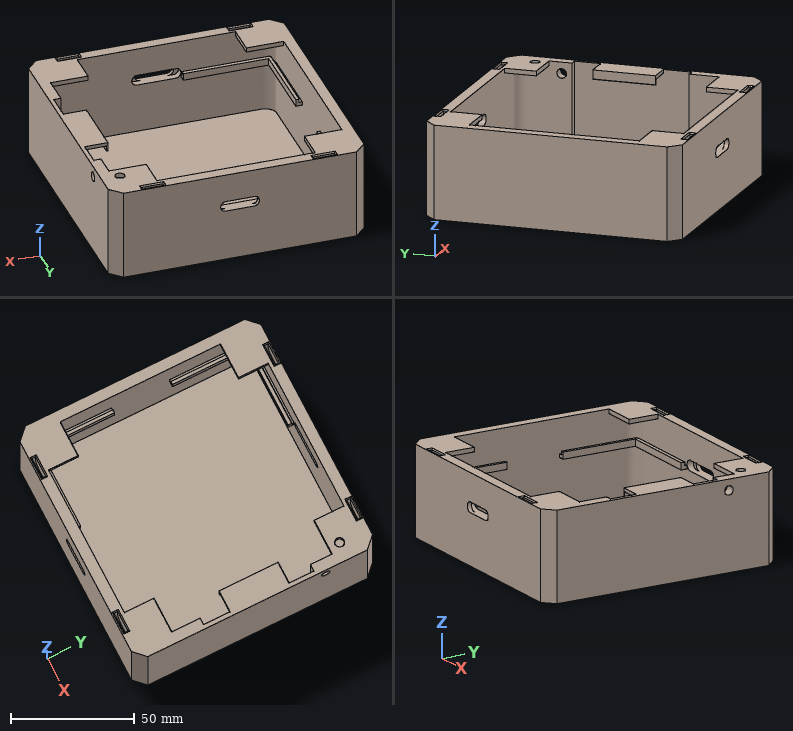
import cadquery as cq

side = 110.0
height = 40.0
wall = 5.0
floor = 1.0
outer_chamfer = 5.0
inner_fillet = 5.0
inner_side = side - 2 * wall
inner_face = inner_side / 2

tab_edge_x = 34.0
tab_edge_y = 36.5
tab_thickness = 2.0

recess_face_x = 53.1
recess_y = (-23.6, 26.6)
bridge_edge_x = 43.2
bridge_y = (-11.5, 15.4)
bridge_thickness = 1.5
lip_thickness = 0.5
lip_height = 4.0

rail_depth = 2.8
rail_top = 26.2
rail_height = 3.1
groove_depth = rail_height / 2
long_wall_groove = 1.0
end_wall_groove = 1.3
rail_end_x = -10.7
rail_end_y = 13.2

slot_z = 25.2
slot_height = 4.5
slot_outer_length = 16.6
slot_inner_length = 21.0
slot_skin = 2.0

magnet_x = 36.8
magnet_y = 53.0
magnet_diameter = 9.2
magnet_slot_width = 1.6
magnet_axis_depth = 5.0
magnet_chamfer = 0.5

hole_diameter = 4.0
tab_hole_x = 47.0
tab_hole_y = 41.5
wall_hole_y = 31.1
wall_hole_z = 35.2


def block(x_range, y_range, z_range):
    """Box spanning the given (low, high) ranges."""
    low, high = zip(x_range, y_range, z_range)
    size = [b - a for a, b in zip(low, high)]
    return cq.Workplane("XY").box(*size, centered=False).translate(low)


def signed_range(sign, low, high):
    """The range low..high, reflected about zero when sign is -1."""
    return tuple(sorted((sign * low, sign * high)))


def square_prism(width, base_z):
    """Square column centered on the box axis, from base_z up to the rim."""
    base = cq.Workplane("XY", origin=(0, 0, base_z))
    return base.rect(width, width).extrude(height - base_z)


def shell():
    """Box with chamfered outer corners, rounded inner corners and the +X recess."""
    outer = square_prism(side, 0).edges("|Z").chamfer(outer_chamfer)
    cavity = square_prism(inner_side, floor).edges("|Z").fillet(inner_fillet)
    recess = block((0, recess_face_x), recess_y, (floor, height))
    return outer.cut(cavity).cut(recess)


def corner_tab(sign_x, sign_y):
    """Plate covering one cavity corner at the rim."""
    return block(
        signed_range(sign_x, tab_edge_x, inner_face),
        signed_range(sign_y, tab_edge_y, inner_face),
        (height - tab_thickness, height),
    )


def bridge():
    """Plate across the +X recess with a lip along its free edge."""
    plate = block((bridge_edge_x, recess_face_x), bridge_y, (height - bridge_thickness, height))
    lip_x = (bridge_edge_x, bridge_edge_x + lip_thickness)
    return plate.union(block(lip_x, bridge_y, (height - lip_height, height)))


def corner_rails(sign_y):
    """Grooved rails on the two walls that meet in one -X corner."""
    rail_z = (rail_top - rail_height, rail_top)
    groove_z = (rail_top - groove_depth, rail_top)
    long_x = (-inner_face, rail_end_x)
    end_y = signed_range(sign_y, rail_end_y, inner_face)

    long_rail = block(long_x, signed_range(sign_y, inner_face - rail_depth, inner_face), rail_z)
    end_rail = block((-inner_face, -inner_face + rail_depth), end_y, rail_z)
    long_groove_y = signed_range(sign_y, inner_face - long_wall_groove, inner_face)
    long_groove = block(long_x, long_groove_y, groove_z)
    end_groove = block((-inner_face, -inner_face + end_wall_groove), end_y, groove_z)
    return long_rail.union(end_rail).cut(long_groove).cut(end_groove)


def slot_bar(length, reach_y):
    """Round-ended bar along Y between -reach_y and +reach_y."""
    start = cq.Workplane("XZ", origin=(0, reach_y, slot_z))
    return start.slot2D(length, slot_height).extrude(2 * reach_y)


def cable_slots():
    """Cutter for both cable slots, reaching across the open cavity."""
    outer_bar = slot_bar(slot_outer_length, side / 2)
    inner_bar = slot_bar(slot_inner_length, side / 2 - slot_skin)
    return outer_bar.union(inner_bar)


def magnet_slot(x, y):
    """Cutter with a half-round bottom and a chamfered mouth."""
    radius = magnet_diameter / 2
    body = (
        cq.Workplane("XZ", origin=(x, y + magnet_slot_width / 2, height))
        .moveTo(-radius, 0)
        .lineTo(-radius, -magnet_axis_depth)
        .threePointArc((0, -magnet_axis_depth - radius), (radius, -magnet_axis_depth))
        .lineTo(radius, 0)
        .close()
        .extrude(magnet_slot_width)
    )
    mouth = (
        cq.Workplane("XY", origin=(x, y, height))
        .rect(magnet_diameter + 2 * magnet_chamfer, magnet_slot_width + 2 * magnet_chamfer)
        .extrude(-magnet_chamfer, taper=45)
    )
    return body.union(mouth)


def tab_hole():
    top = cq.Workplane("XY", origin=(tab_hole_x, tab_hole_y, height))
    return top.circle(hole_diameter / 2).extrude(-tab_thickness)


def wall_hole():
    inside = cq.Workplane("YZ", origin=(inner_face, wall_hole_y, wall_hole_z))
    return inside.circle(hole_diameter / 2).extrude(wall)


result = shell()
for sign_y in (-1, 1):
    result = result.union(corner_rails(sign_y))
result = result.cut(cable_slots())

for sign_x in (-1, 1):
    for sign_y in (-1, 1):
        result = result.union(corner_tab(sign_x, sign_y))
        result = result.cut(magnet_slot(sign_x * magnet_x, sign_y * magnet_y))
result = result.union(bridge()).cut(tab_hole()).cut(wall_hole())